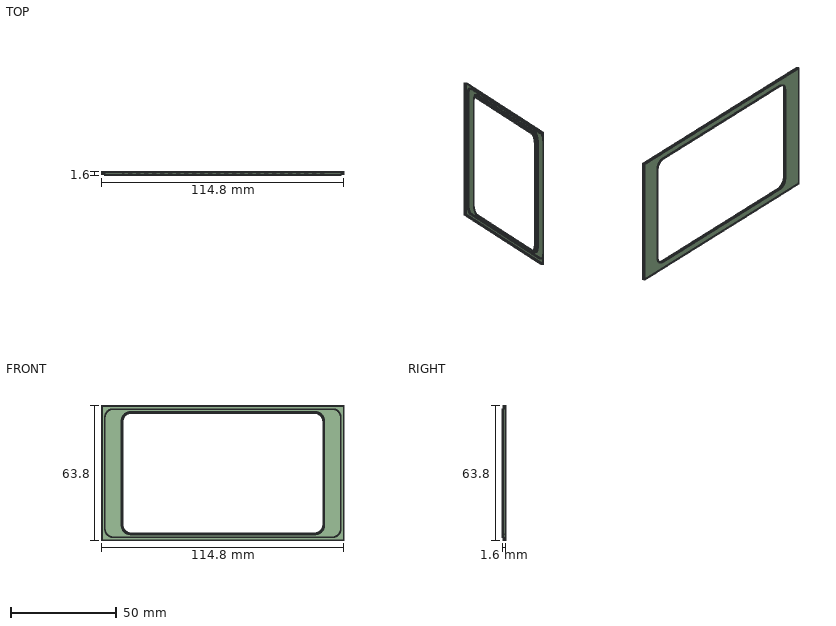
import cadquery as cq

frame_width = 114.8
frame_height = 63.8
total_thickness = 1.6

flange_thickness = 1.0
panel_thickness = total_thickness - flange_thickness
panel_inset = 1.5
panel_width = frame_width - 2 * panel_inset
panel_height = frame_height - 2 * panel_inset
panel_corner_radius = 4.0

window_width = 95.0
window_height = 57.0
window_corner_radius = 4.0
rim_bevel = 0.6

opening_width = window_width + 2 * rim_bevel
opening_height = window_height + 2 * rim_bevel
opening_corner_radius = window_corner_radius + rim_bevel

front_y = 0.0
step_y = front_y + panel_thickness
back_y = front_y + total_thickness


def upright_block(width, height, start_y, end_y):
    """Rectangular block centred on X and Z, spanning start_y to end_y."""
    middle_y = (start_y + end_y) / 2
    return cq.Workplane("XY").box(width, end_y - start_y, height).translate((0, middle_y, 0))


def rounded_block(width, height, corner_radius, start_y, end_y):
    """Upright block with its four corners rounded about Y."""
    return upright_block(width, height, start_y, end_y).edges("|Y").fillet(corner_radius)


def make_flange():
    """Sharp-cornered plate whose window is bevelled on the front side."""
    window = rounded_block(window_width, window_height, window_corner_radius, step_y, back_y)
    plate = upright_block(frame_width, frame_height, step_y, back_y).cut(window)
    front_rim = plate.faces("<Y").edges(
        cq.selectors.BoxSelector(
            (-opening_width / 2, step_y - rim_bevel / 2, -opening_height / 2),
            (opening_width / 2, step_y + rim_bevel / 2, opening_height / 2),
            boundingbox=True,
        )
    )
    return front_rim.chamfer(rim_bevel)


def make_panel():
    """Raised rounded plate with a straight-walled rounded opening."""
    plate = rounded_block(panel_width, panel_height, panel_corner_radius, front_y, step_y)
    opening = rounded_block(opening_width, opening_height, opening_corner_radius, front_y, step_y)
    return plate.cut(opening)


result = make_flange().union(make_panel())